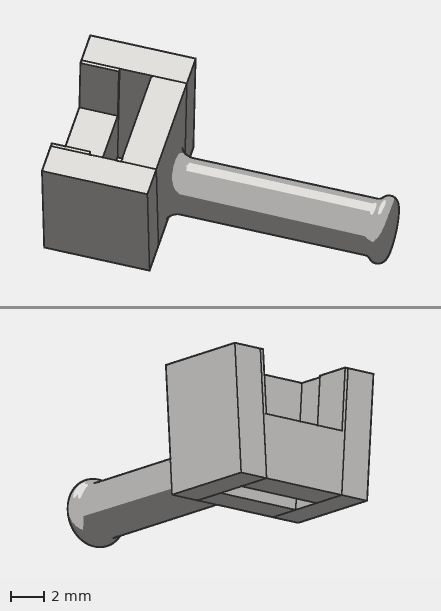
import cadquery as cq
import math

TOTAL_LENGTH = 20.4
HEAD_LENGTH = 6.6
HEAD_TOP_WIDTH = 10.77
HEAD_HEIGHT = 8.02
SIDE_SLOPE = math.tan(math.radians(3.5))
TOP_SLOPE = math.tan(math.radians(0.55))

CHEEK_THICKNESS = 1.98
FRONT_PLATE_LENGTH = 2.4
WINDOW_LENGTH = 2.0
BACK_PLATE_START = FRONT_PLATE_LENGTH + WINDOW_LENGTH
NOTCH_DEPTH = 4.0
NOTCH_LIP = 0.22

HANDLE_RADIUS = 3.5 / 2
BEAD_RADIUS = 4.2 / 2
HANDLE_AXIS_Z = 2.53
ROOT_ARC_RADIUS = 0.98
ROOT_FLARE = 0.75
BEAD_ARC_RADIUS = 0.49
BEAD_END_RADIUS = 0.53

HALF_TOP = HEAD_TOP_WIDTH / 2
HALF_INNER = HALF_TOP - CHEEK_THICKNESS
HALF_NOTCH = HALF_INNER - NOTCH_LIP


def section_point(half_width, depth, side):
    """(y, z) on a leaning side; half_width is taken at the top, depth runs down from the top."""
    y = side * (half_width - depth * SIDE_SLOPE)
    return y, HEAD_HEIGHT - depth + y * TOP_SLOPE


def plate(points, start, length):
    """Extrude a closed YZ outline along +X from X = start."""
    return cq.Workplane("YZ", origin=(start, 0, 0)).polyline(points).close().extrude(length)


def make_cheek(side):
    outline = [
        section_point(HALF_INNER, 0, side),
        section_point(HALF_TOP, 0, side),
        section_point(HALF_TOP, HEAD_HEIGHT, side),
        section_point(HALF_INNER, HEAD_HEIGHT, side),
    ]
    return plate(outline, 0, HEAD_LENGTH)


def make_front_plate():
    """Plate between the cheeks with a deep open notch that leaves a thin lip on each side."""
    outline = [
        section_point(HALF_INNER, HEAD_HEIGHT, -1),
        section_point(HALF_INNER, 0, -1),
        section_point(HALF_NOTCH, 0, -1),
        section_point(HALF_NOTCH, NOTCH_DEPTH, -1),
        section_point(HALF_NOTCH, NOTCH_DEPTH, 1),
        section_point(HALF_NOTCH, 0, 1),
        section_point(HALF_INNER, 0, 1),
        section_point(HALF_INNER, HEAD_HEIGHT, 1),
    ]
    return plate(outline, 0, FRONT_PLATE_LENGTH)


def make_handle():
    """Revolved handle with a flared root and a rounded bead at its end."""
    root_length = math.sqrt(ROOT_ARC_RADIUS**2 - (ROOT_ARC_RADIUS - ROOT_FLARE) ** 2)
    root_end = HEAD_LENGTH + root_length

    crest_x = TOTAL_LENGTH - BEAD_END_RADIUS
    rise = BEAD_RADIUS - HANDLE_RADIUS
    centre_distance = 2 * BEAD_ARC_RADIUS
    neck_length = math.sqrt(centre_distance**2 - (centre_distance - rise) ** 2)
    neck_x = crest_x - neck_length
    middle = (neck_x + neck_length / 2, HANDLE_RADIUS + rise / 2)

    profile = (
        cq.Workplane("XY", origin=(0, 0, HANDLE_AXIS_Z))
        .moveTo(HEAD_LENGTH, 0)
        .lineTo(HEAD_LENGTH, HANDLE_RADIUS + ROOT_FLARE)
        .radiusArc((root_end, HANDLE_RADIUS), -ROOT_ARC_RADIUS)
        .lineTo(neck_x, HANDLE_RADIUS)
        .radiusArc(middle, -BEAD_ARC_RADIUS)
        .radiusArc((crest_x, BEAD_RADIUS), BEAD_ARC_RADIUS)
        .radiusArc((TOTAL_LENGTH, BEAD_RADIUS - BEAD_END_RADIUS), BEAD_END_RADIUS)
        .lineTo(TOTAL_LENGTH, 0)
        .close()
    )
    return profile.revolve(360, (0, 0, 0), (1, 0, 0))


def make_back_plate_with_handle():
    outline = [
        section_point(HALF_INNER, HEAD_HEIGHT, -1),
        section_point(HALF_INNER, 0, -1),
        section_point(HALF_INNER, 0, 1),
        section_point(HALF_INNER, HEAD_HEIGHT, 1),
    ]
    back_plate = plate(outline, BACK_PLATE_START, HEAD_LENGTH - BACK_PLATE_START)
    return back_plate.union(make_handle())


cheeks = [make_cheek(side) for side in (-1, 1)]
front_plate = make_front_plate()
back_plate_with_handle = make_back_plate_with_handle()

result = cq.Compound.makeCompound(
    [
        *[cheek.val() for cheek in cheeks],
        front_plate.val(),
        back_plate_with_handle.val(),
    ]
)